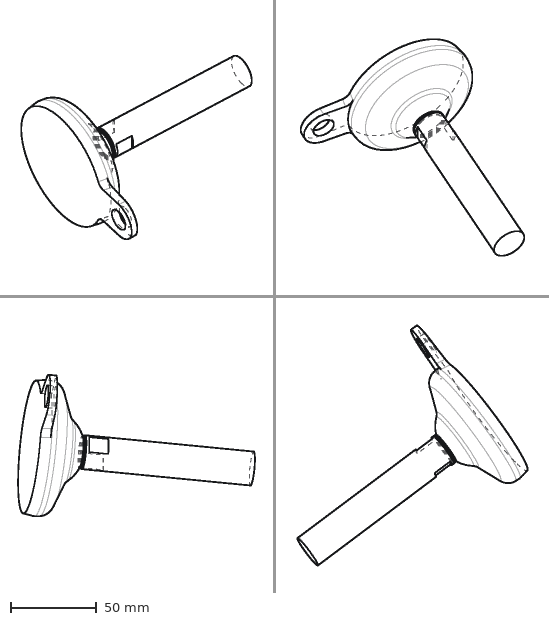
import cadquery as cq
import math

total_length = 131.5
total_width = 108.0

base_radius = 38.9
rim_radius = 40.0
rim_height = 6.3
shoulder_start_radius = 39.7
shoulder_start_height = 9.3
shoulder_middle_radius = 38.4
shoulder_middle_height = 12.9
shoulder_end_radius = 33.9
shoulder_end_height = 16.0
blend_start_radius = 20.1
blend_start_height = 21.8
blend_end_height = 23.7
hub_height = 30.1
hub_sphere_radius = 23.1
hub_sphere_height = 9.1

tab_half_width = 12.6
tab_hole_diameter = 13.0
tab_hole_offset = total_width - rim_radius - tab_half_width
tab_root_height = 5.9
tab_tip_height = 4.2
tab_fillet = 5.3

rod_radius = 10.0
rod_start = 31.8
neck_radius = 8.4
collar_radius = 9.9
collar_start = 30.5
collar_end = 31.3
seat_radius = 9.2
flats_width = 17.1
flats_start = 33.5
flats_end = 45.0


def sphere_radius_at(height):
    """Radius of the spherical hub's section at a height above the base."""
    return math.sqrt(hub_sphere_radius**2 - (height - hub_sphere_height) ** 2)


def make_disc():
    hub_middle_height = (blend_end_height + hub_height) / 2
    blend_end_radius = sphere_radius_at(blend_end_height)
    return (
        cq.Workplane("XY")
        .lineTo(0, hub_height)
        .lineTo(sphere_radius_at(hub_height), hub_height)
        .threePointArc(
            (sphere_radius_at(hub_middle_height), hub_middle_height),
            (blend_end_radius, blend_end_height),
        )
        .tangentArcPoint((blend_start_radius, blend_start_height), relative=False)
        .lineTo(shoulder_end_radius, shoulder_end_height)
        .threePointArc(
            (shoulder_middle_radius, shoulder_middle_height),
            (shoulder_start_radius, shoulder_start_height),
        )
        .lineTo(rim_radius, rim_height)
        .lineTo(base_radius, 0)
        .close()
        .revolve(360, (0, 0, 0), (0, 1, 0))
    )


def make_tab():
    tip_x = tab_hole_offset + tab_half_width
    outline = (
        cq.Workplane("XZ")
        .moveTo(0, tab_half_width)
        .lineTo(tab_hole_offset, tab_half_width)
        .threePointArc((tip_x, 0), (tab_hole_offset, -tab_half_width))
        .lineTo(0, -tab_half_width)
        .close()
        .extrude(-rim_height)
    )
    rim_cone = (
        cq.Workplane("XY")
        .lineTo(base_radius, 0)
        .lineTo(rim_radius, rim_height)
        .lineTo(0, rim_height)
        .close()
        .revolve(360, (0, 0, 0), (0, 1, 0))
    )
    rooted_tab = outline.union(rim_cone)
    root_x = math.sqrt(base_radius**2 - tab_half_width**2)
    for side in (-1, 1):
        root_corner = cq.selectors.NearestToPointSelector(
            (root_x, rim_height / 2, side * tab_half_width)
        )
        rooted_tab = rooted_tab.edges(root_corner).fillet(tab_fillet)
    sloped_wedge = (
        cq.Workplane("XY")
        .polyline([
            (0, 0),
            (0, tab_root_height),
            (base_radius, tab_root_height),
            (tip_x, tab_tip_height),
            (tip_x, 0),
        ])
        .close()
        .extrude(tab_half_width + tab_fillet, both=True)
    )
    return rooted_tab.intersect(sloped_wedge)


def make_foot():
    hole = (
        cq.Workplane("XZ")
        .center(tab_hole_offset, 0)
        .circle(tab_hole_diameter / 2)
        .extrude(-tab_root_height)
    )
    return make_disc().union(make_tab()).cut(hole)


def make_spindle():
    rod = (
        cq.Workplane("XY")
        .moveTo(0, hub_height)
        .lineTo(seat_radius, hub_height)
        .lineTo(seat_radius, collar_start)
        .lineTo(collar_radius, collar_start)
        .lineTo(collar_radius, collar_end)
        .lineTo(neck_radius, collar_end)
        .lineTo(neck_radius, rod_start)
        .lineTo(rod_radius, rod_start)
        .lineTo(rod_radius, total_length)
        .lineTo(0, total_length)
        .close()
        .revolve(360, (0, 0, 0), (0, 1, 0))
    )
    flat_depth = rod_radius - flats_width / 2
    flat_center_x = flats_width / 2 + flat_depth / 2
    flat_center_y = (flats_start + flats_end) / 2
    for side in (-1, 1):
        flat_cutter = cq.Workplane("XY").box(flat_depth, flats_end - flats_start, 2 * rod_radius)
        rod = rod.cut(flat_cutter.translate((side * flat_center_x, flat_center_y, 0)))
    return rod


foot = make_foot()
spindle = make_spindle()
result = cq.Compound.makeCompound([foot.val(), spindle.val()])